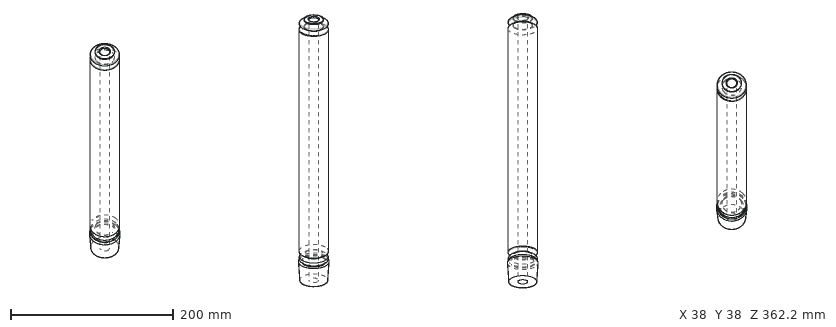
import cadquery as cq

length = 362.2
body_radius = 36.5 / 2
neck_radius = 24.0 / 2
bore_radius = 12.0 / 2
bore_chamfer = 1.0

foot_height = 26.0
foot_top_radius = 38.0 / 2
foot_bottom_radius = 34.8 / 2
foot_neck_radius = 15.0

barrel_bottom = 39.5
barrel_top = 348.5
edge_break = 0.7
groove_half_height = 3.3
neck_half_height = 0.5

lower_rim_bottom = 29.0
lower_neck_z = barrel_bottom - groove_half_height
lower_rim_top = lower_neck_z - groove_half_height
rim_edge_radius = body_radius - edge_break
foot_neck_top = foot_height + 1.0
upper_neck_z = barrel_top + groove_half_height
upper_rim_bottom = upper_neck_z + groove_half_height
crown_edge_z = length - 1.5
crown_foot_radius = 17.5
crown_foot_z = upper_rim_bottom + 2.5


def make_column():
    """Foot, lower rim and barrel, up to the underside of the crown."""
    lower_rim_middle = (lower_rim_bottom + lower_rim_top) / 2
    profile = (
        cq.Workplane("XZ")
        .lineTo(foot_bottom_radius, 0)
        .lineTo(foot_top_radius, foot_height)
        .lineTo(foot_neck_radius, foot_height)
        .lineTo(foot_neck_radius, foot_neck_top)
        .lineTo(rim_edge_radius, lower_rim_bottom)
        .threePointArc((body_radius, lower_rim_middle), (rim_edge_radius, lower_rim_top))
        .lineTo(neck_radius, lower_neck_z - neck_half_height)
        .lineTo(neck_radius, lower_neck_z + neck_half_height)
        .lineTo(rim_edge_radius, barrel_bottom)
        .lineTo(body_radius, barrel_bottom + edge_break)
        .lineTo(body_radius, barrel_top - edge_break)
        .lineTo(rim_edge_radius, barrel_top)
        .lineTo(neck_radius, upper_neck_z - neck_half_height)
        .lineTo(neck_radius, upper_neck_z + neck_half_height)
        .lineTo(rim_edge_radius, upper_rim_bottom)
        .lineTo(0, upper_rim_bottom)
        .close()
    )
    return profile.revolve(360, (0, 0), (0, 1))


def make_crown():
    """Top cap whose cone runs smoothly into its rounded rim."""
    profile = (
        cq.Workplane("XZ")
        .moveTo(0, upper_rim_bottom)
        .lineTo(0, length)
        .lineTo(neck_radius, length)
        .lineTo(neck_radius, crown_edge_z)
        .lineTo(crown_foot_radius, crown_foot_z)
        .tangentArcPoint((rim_edge_radius, upper_rim_bottom), relative=False)
        .close()
    )
    return profile.revolve(360, (0, 0), (0, 1))


def make_bore():
    """Through bore with a chamfered mouth at the top."""
    bore_profile = (
        cq.Workplane("XZ")
        .lineTo(bore_radius, 0)
        .lineTo(bore_radius, length - bore_chamfer)
        .lineTo(bore_radius + bore_chamfer, length)
        .lineTo(0, length)
        .close()
    )
    return bore_profile.revolve(360, (0, 0), (0, 1))


result = make_column().union(make_crown()).cut(make_bore())